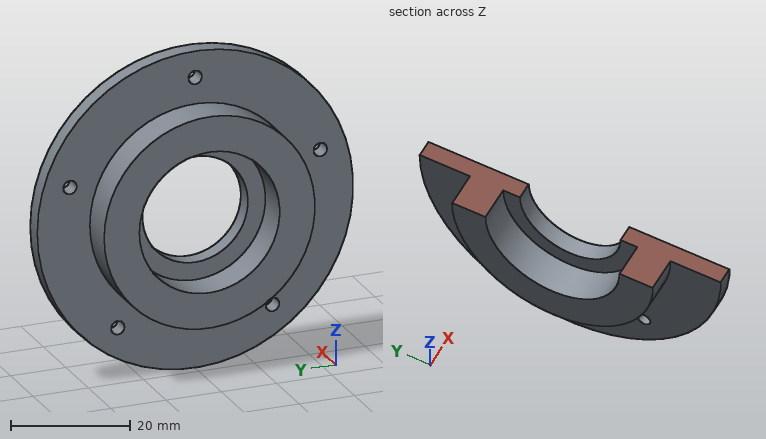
import cadquery as cq

flange_diameter = 57.15
flange_thickness = 3.2
hub_diameter = 38.1
hub_length = 6.35
seat_diameter = 25.4
seat_depth = 6.35
bore_diameter = 19.05
bolt_hole_diameter = 2.4
bolt_circle_diameter = 47.6
bolt_hole_count = 5

total_length = hub_length + flange_thickness


def disc(diameter, length, start_x=0.0):
    """Cylinder along +X, starting at start_x."""
    return cq.Workplane("YZ", origin=(start_x, 0, 0)).circle(diameter / 2).extrude(length)


body = disc(hub_diameter, hub_length).union(disc(flange_diameter, flange_thickness, hub_length))

body = body.cut(disc(seat_diameter, seat_depth))
body = body.cut(disc(bore_diameter, total_length))

bolt_holes = (
    cq.Workplane("YZ")
    .polarArray(bolt_circle_diameter / 2, 90, 360, bolt_hole_count)
    .circle(bolt_hole_diameter / 2)
    .extrude(total_length)
)
result = body.cut(bolt_holes)